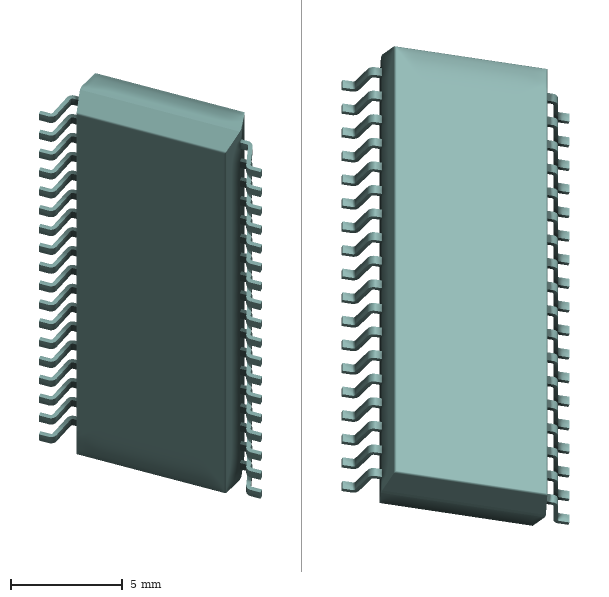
import cadquery as cq
import math

body_width = 7.6
body_length = 23.47
half_depth = 1.22
draft_angle = 12.0
edge_round = 0.1

lead_thickness = 0.2
lead_width = 0.42
lead_pitch = 1.27
leads_per_side = 18
lead_span = 10.53
foot_length = 0.47
standoff = 0.15
leg_angle = 15.0
bend_inner_radius = 0.1
lead_embed = 0.5

half_band = lead_thickness / 2
foot_bottom_y = -half_band - half_depth - standoff


def tapered_half(direction):
    """One half of the body, growing from the parting band along +Y or -Y."""
    plane = cq.Workplane("XZ", origin=(0, direction * half_band, 0))
    half = plane.rect(body_width, body_length).extrude(-direction * half_depth, taper=draft_angle)
    outer_face = ">Y" if direction > 0 else "<Y"
    return half.faces(outer_face).edges().fillet(edge_round)


def make_body():
    band = cq.Workplane("XY").box(body_width, lead_thickness, body_length)
    return band.union(tapered_half(1)).union(tapered_half(-1))


def lead_blank():
    """One lead of the +X row, centred on Z = 0."""
    lean = math.radians(leg_angle)
    inner = bend_inner_radius
    outer = inner + lead_thickness
    toe_x = lead_span / 2
    root_x = body_width / 2 - lead_embed

    heel_x = toe_x - foot_length
    heel_y = foot_bottom_y + outer
    shoulder_y = half_band - outer
    shoulder_x = heel_x - (inner + outer + (shoulder_y - heel_y) * math.sin(lean)) / math.cos(lean)

    def on_shoulder(radius, angle):
        return (shoulder_x + radius * math.cos(angle), shoulder_y + radius * math.sin(angle))

    def on_heel(radius, angle):
        return (heel_x - radius * math.cos(angle), heel_y - radius * math.sin(angle))

    quarter = math.pi / 2
    middle = (quarter + lean) / 2
    profile = (
        cq.Workplane("XY", origin=(0, 0, -lead_width / 2))
        .moveTo(root_x, half_band)
        .lineTo(*on_shoulder(outer, quarter))
        .threePointArc(on_shoulder(outer, middle), on_shoulder(outer, lean))
        .lineTo(*on_heel(inner, lean))
        .threePointArc(on_heel(inner, middle), on_heel(inner, quarter))
        .lineTo(toe_x, foot_bottom_y + lead_thickness)
        .lineTo(toe_x, foot_bottom_y)
        .lineTo(*on_heel(outer, quarter))
        .threePointArc(on_heel(outer, middle), on_heel(outer, lean))
        .lineTo(*on_shoulder(inner, lean))
        .threePointArc(on_shoulder(inner, middle), on_shoulder(inner, quarter))
        .lineTo(root_x, -half_band)
        .close()
    )
    return profile.extrude(lead_width)


def add_leads(body):
    right_lead = lead_blank()
    left_lead = right_lead.mirror("YZ")
    first_z = -lead_pitch * (leads_per_side - 1) / 2
    for index in range(leads_per_side):
        offset = (0, 0, first_z + index * lead_pitch)
        body = body.union(right_lead.translate(offset))
        body = body.union(left_lead.translate(offset))
    return body


result = add_leads(make_body())